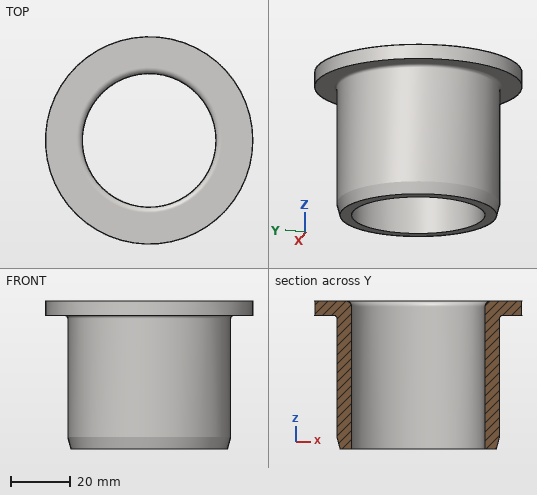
import cadquery as cq
import math

total_height = 50.0
flange_diameter = 70.0
flange_thickness = 5.0
sleeve_diameter = 55.0
bore_diameter = 45.0
bore_mouth_radius = 2.0
neck_fillet_radius = 1.0
lead_in_length = 4.0
lead_in_angle = 15.0

flange_radius = flange_diameter / 2
sleeve_radius = sleeve_diameter / 2
bore_radius = bore_diameter / 2
flange_underside = total_height - flange_thickness
lead_in_depth = lead_in_length * math.tan(math.radians(lead_in_angle))


def make_half_section():
    """Half section of the bushing: local x is the radius, local y is the height."""
    return (
        cq.Workplane("XZ")
        .moveTo(bore_radius, 0)
        .lineTo(sleeve_radius - lead_in_depth, 0)
        .lineTo(sleeve_radius, lead_in_length)
        .lineTo(sleeve_radius, flange_underside - neck_fillet_radius)
        .tangentArcPoint((neck_fillet_radius, neck_fillet_radius))
        .lineTo(flange_radius, flange_underside)
        .lineTo(flange_radius, total_height)
        .lineTo(bore_radius + bore_mouth_radius, total_height)
        .tangentArcPoint((-bore_mouth_radius, -bore_mouth_radius))
        .close()
    )


def make_bushing():
    """Flanged bushing turned about the Z axis, with its lower end at Z = 0."""
    return make_half_section().revolve(360, (0, 0), (0, 1))


result = make_bushing()